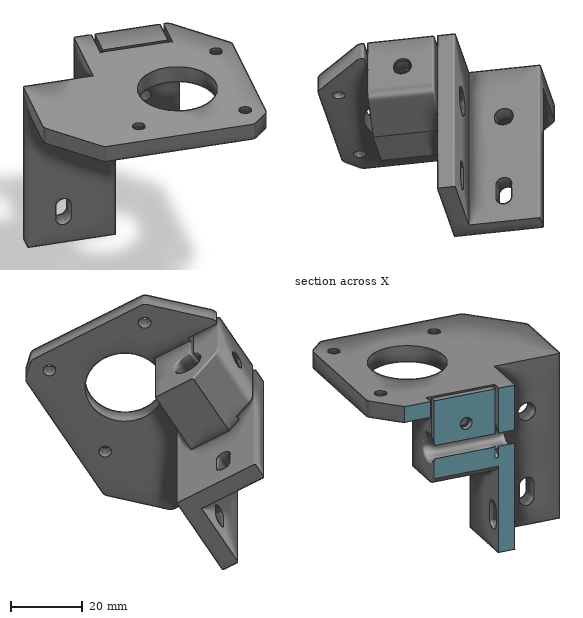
import cadquery as cq


PLATE_WIDTH = 56.0
PLATE_DEPTH = 62.5
ARM = 20.4
LEFT = -ARM
FRONT = -ARM
RIGHT = LEFT + PLATE_WIDTH
BACK = FRONT + PLATE_DEPTH
PLATE_THICKNESS = 5.0
FRONT_RIGHT_CHAMFER = 13.9
BACK_RIGHT_CHAMFER = 4.8
BACK_LEFT_CHAMFER = 14.5
CORNER_RADIUS = 2.5
EDGE_RADIUS = 0.5

MOTOR_X = 12.6
MOTOR_Y = 21.1
MOTOR_BORE = 22.4
MOTOR_SCREW_OFFSET = 15.5
MOTOR_SCREW_DIAMETER = 3.5

WALL_THICKNESS = 5.1
WALL_HEIGHT = 51.0
WALL_HOLE_OFFSET = 10.0
UPPER_HOLE_Z = -16.0
ROD_DIAMETER = 8.4
WALL_SCREW_DIAMETER = 5.4
UPRIGHT = 90
SLOT_Z = -40.7
SLOT_WIDTH = 4.5
SLOT_LENGTH = 8.7

GAP = 1.0
JAW_LENGTH = 19.0
JAW_THICKNESS = 8.4
CLAMP_FRONT = WALL_THICKNESS
JAW_FRONT = CLAMP_FRONT + GAP
CLAMP_BACK = JAW_FRONT + JAW_LENGTH
NOTCH_BACK = CLAMP_BACK + GAP
JAW_INNER = LEFT + JAW_THICKNESS
BODY_LEFT = JAW_INNER + GAP
ROD_X = -WALL_HOLE_OFFSET
CLAMP_RIGHT = 2 * ROD_X - LEFT
CLAMP_HEIGHT = 26.1
CLAMP_CHAMFER = 8.5
CLAMP_BEND_RADIUS = 5.0
GAP_END_X = LEFT + 5.25

CLAMP_SCREW_Y = (CLAMP_FRONT + CLAMP_BACK) / 2
CLAMP_SCREW_Z = -9.0
CLAMP_SCREW_DIAMETER = 3.5
INSERT_DIAMETER = 4.7
INSERT_DEPTH = 5.0
INSERT_LEAD_DIAMETER = 5.0
INSERT_LEAD_DEPTH = 1.0


def box(x0, x1, y0, y1, z0, z1):
    """Box between the given limits."""
    return cq.Workplane("XY").box(x1 - x0, y1 - y0, z1 - z0, centered=False).translate((x0, y0, z0))


def x_cylinder(diameter, x0, x1, y, z):
    """Cylinder along X between x0 and x1."""
    return cq.Workplane("YZ", origin=(x0, y, z)).circle(diameter / 2).extrude(x1 - x0)


def y_cylinder(diameter, y0, y1, x, z):
    """Cylinder along Y between y0 and y1."""
    return cq.Workplane("XZ", origin=(x, y0, z)).circle(diameter / 2).extrude(y0 - y1)


def fillet_upright(body, radius, corners):
    """Round the vertical edges that stand at the given (x, y) corners."""
    reach = EDGE_RADIUS / 10
    for x, y in corners:
        selector = cq.selectors.BoxSelector(
            (x - reach, y - reach, -WALL_HEIGHT), (x + reach, y + reach, WALL_HEIGHT)
        )
        body = body.edges("|Z").edges(selector).fillet(radius)
    return body


def make_plate():
    """Top plate with its chamfered corners and the notch around the clamp jaw."""
    chamfered_corners = [
        (RIGHT - FRONT_RIGHT_CHAMFER, FRONT),
        (RIGHT, FRONT + FRONT_RIGHT_CHAMFER),
        (RIGHT, BACK - BACK_RIGHT_CHAMFER),
        (RIGHT - BACK_RIGHT_CHAMFER, BACK),
        (LEFT + BACK_LEFT_CHAMFER, BACK),
        (LEFT, BACK - BACK_LEFT_CHAMFER),
    ]
    outline = [
        (0, 0),
        (0, FRONT),
        *chamfered_corners,
        (LEFT, NOTCH_BACK),
        (BODY_LEFT, NOTCH_BACK),
        (BODY_LEFT, CLAMP_FRONT),
        (LEFT, CLAMP_FRONT),
        (LEFT, 0),
    ]
    plate = cq.Workplane("XY").polyline(outline).close().extrude(-PLATE_THICKNESS)
    plate = fillet_upright(plate, CORNER_RADIUS, chamfered_corners)
    small_corners = [(0, FRONT), (LEFT, NOTCH_BACK), (LEFT, CLAMP_FRONT), (LEFT, 0)]
    return fillet_upright(plate, EDGE_RADIUS, small_corners)


def make_walls():
    """Two upright walls that form an L around the inside corner."""
    outline = [
        (0, 0),
        (0, FRONT),
        (WALL_THICKNESS, FRONT),
        (WALL_THICKNESS, WALL_THICKNESS),
        (LEFT, WALL_THICKNESS),
        (LEFT, 0),
    ]
    walls = cq.Workplane("XY").polyline(outline).close().extrude(-WALL_HEIGHT)
    ends = [(0, FRONT), (WALL_THICKNESS, FRONT), (LEFT, WALL_THICKNESS), (LEFT, 0)]
    return fillet_upright(walls, EDGE_RADIUS, ends)


def edges_within(body, x_limits, y_limits, z_limits):
    """Edges whose centres lie inside the given limits."""
    corners = zip(x_limits, y_limits, z_limits)
    return body.edges(cq.selectors.BoxSelector(*corners))


def make_clamp_blank():
    """Clamp body with its bent left side, before the gaps are cut."""
    slope_top = CLAMP_CHAMFER - CLAMP_HEIGHT
    outline = [
        (LEFT, 0),
        (LEFT, slope_top),
        (LEFT + CLAMP_CHAMFER, -CLAMP_HEIGHT),
        (CLAMP_RIGHT, -CLAMP_HEIGHT),
        (CLAMP_RIGHT, 0),
    ]
    depth = CLAMP_BACK - CLAMP_FRONT
    blank = cq.Workplane("XZ", origin=(0, CLAMP_FRONT, 0)).polyline(outline).close().extrude(-depth)
    bend = cq.selectors.NearestToPointSelector((LEFT, CLAMP_FRONT + depth / 2, slope_top))
    return blank.edges("|Y").edges(bend).fillet(CLAMP_BEND_RADIUS)


def side_gap():
    """Gap in front of the jaw, closed by a face at right angles to the clamp's slope."""
    end_z = CLAMP_CHAMFER - CLAMP_HEIGHT - (GAP_END_X - LEFT)
    outline = [
        (LEFT - GAP, 0),
        (LEFT - GAP, end_z - (GAP_END_X - LEFT + GAP)),
        (BODY_LEFT, end_z + BODY_LEFT - GAP_END_X),
        (BODY_LEFT, 0),
    ]
    return cq.Workplane("XZ", origin=(0, CLAMP_FRONT, 0)).polyline(outline).close().extrude(-GAP)


def make_clamp():
    """Clamp with its bore, the gaps around the jaw and the rounded edges."""
    left_side = (LEFT - GAP, GAP_END_X)
    full_height = (-CLAMP_HEIGHT + EDGE_RADIUS, -EDGE_RADIUS)
    clamp = make_clamp_blank()
    clamp = clamp.cut(y_cylinder(ROD_DIAMETER, CLAMP_FRONT, CLAMP_BACK, ROD_X, UPPER_HOLE_Z))

    back = (CLAMP_BACK - EDGE_RADIUS, CLAMP_BACK + EDGE_RADIUS)
    clamp = edges_within(clamp, left_side, back, full_height).fillet(EDGE_RADIUS)
    clamp = clamp.faces(">Y").edges("%CIRCLE").fillet(EDGE_RADIUS)

    clamp = clamp.cut(box(JAW_INNER, BODY_LEFT, CLAMP_FRONT, CLAMP_BACK, UPPER_HOLE_Z, 0))
    clamp = clamp.cut(side_gap())
    front = (JAW_FRONT - EDGE_RADIUS / 2, JAW_FRONT + EDGE_RADIUS / 2)
    clamp = edges_within(clamp, left_side, front, full_height).edges("not |Y").fillet(EDGE_RADIUS)

    lip_x = (BODY_LEFT - EDGE_RADIUS, BODY_LEFT + EDGE_RADIUS)
    lip_y = (JAW_FRONT, CLAMP_BACK)
    lip_z = (UPPER_HOLE_Z, UPPER_HOLE_Z + ROD_DIAMETER / 2)
    return edges_within(clamp, lip_x, lip_y, lip_z).edges("|Y").fillet(EDGE_RADIUS)


def wall_slots():
    """Upright slots, one through each mounting wall."""
    along_y = cq.Workplane("XZ", origin=(-WALL_HOLE_OFFSET, 0, SLOT_Z))
    along_y = along_y.slot2D(SLOT_LENGTH, SLOT_WIDTH, UPRIGHT).extrude(-WALL_THICKNESS)
    along_x = cq.Workplane("YZ", origin=(0, -WALL_HOLE_OFFSET, SLOT_Z))
    along_x = along_x.slot2D(SLOT_LENGTH, SLOT_WIDTH, UPRIGHT).extrude(WALL_THICKNESS)
    return along_y.union(along_x)


def motor_holes():
    """Central bore and three screw holes through the plate."""
    screws = [
        (MOTOR_X - MOTOR_SCREW_OFFSET, MOTOR_Y + MOTOR_SCREW_OFFSET),
        (MOTOR_X + MOTOR_SCREW_OFFSET, MOTOR_Y + MOTOR_SCREW_OFFSET),
        (MOTOR_X + MOTOR_SCREW_OFFSET, MOTOR_Y - MOTOR_SCREW_OFFSET),
    ]
    bore = cq.Workplane("XY").center(MOTOR_X, MOTOR_Y).circle(MOTOR_BORE / 2).extrude(-PLATE_THICKNESS)
    holes = cq.Workplane("XY").pushPoints(screws).circle(MOTOR_SCREW_DIAMETER / 2)
    return bore.union(holes.extrude(-PLATE_THICKNESS))


def clamp_screw_hole():
    """Stepped clamp screw hole with an insert seat in the jaw."""
    axis = (CLAMP_SCREW_Y, CLAMP_SCREW_Z)
    hole = x_cylinder(CLAMP_SCREW_DIAMETER, LEFT, CLAMP_RIGHT, *axis)
    hole = hole.union(x_cylinder(INSERT_DIAMETER, LEFT, LEFT + INSERT_DEPTH, *axis))
    return hole.union(x_cylinder(INSERT_LEAD_DIAMETER, LEFT, LEFT + INSERT_LEAD_DEPTH, *axis))


result = make_plate().union(make_walls()).union(make_clamp())
result = result.cut(motor_holes()).cut(wall_slots()).cut(clamp_screw_hole())
result = result.cut(y_cylinder(ROD_DIAMETER, 0, WALL_THICKNESS, ROD_X, UPPER_HOLE_Z))
result = result.cut(x_cylinder(WALL_SCREW_DIAMETER, 0, WALL_THICKNESS, -WALL_HOLE_OFFSET, UPPER_HOLE_Z))